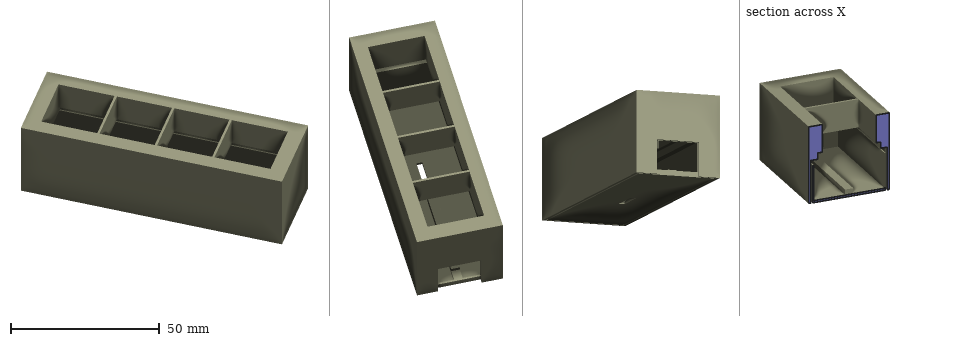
import cadquery as cq

LENGTH = 92.0
WIDTH = 29.8
HEIGHT = 28.25
MID_Y = WIDTH / 2

WELL_COUNT = 4
WELL_PITCH = 20.25
WELL_WIDTH = 19.7
WELL_DEPTH = 10.3
PARTITION = 0.8
WELL_START_X = 5.6
WELL_END_X = LENGTH - WELL_START_X
WELL_BOTTOM = HEIGHT - WELL_DEPTH

CHAMBER_WIDTH = 22.9
CHAMBER_BOTTOM = 15.6

HOUSING_WALL = 0.9
CAVITY_LENGTH = LENGTH - 2 * HOUSING_WALL
CAVITY_WIDTH = WIDTH - 2 * HOUSING_WALL

DOOR_WIDTH = 15.1
DOOR_TOP = 11.8
SILL_TOP = 1.75

CLEARANCE = 0.55
TRAY_START_X = HOUSING_WALL + CLEARANCE
TRAY_END_X = LENGTH - TRAY_START_X
TRAY_WIDTH = CAVITY_WIDTH - 2 * CLEARANCE
TRAY_HEIGHT = 13.8
TRAY_FLOOR = 0.9
TRAY_FRONT_WALL = 0.7
TRAY_BACK_WALL = 4.1
TRAY_SIDE_WALL = 0.5

RAIL_WIDTH = 3.0
RAIL_START_X = 6.0
RAIL_END_X = 40.8
RAIL_TOP = 2.85
SLOT_START_X = 43.8
SLOT_END_X = 55.0
SLOT_WIDTH = 2.0


def centred_block(start_x, end_x, width, bottom, top):
    """Block centred across Y, spanning the given X and Z ranges."""
    return cq.Workplane("XY").box(
        end_x - start_x, width, top - bottom, centered=(False, True, False)
    ).translate((start_x, MID_Y, bottom))


def make_housing():
    body = centred_block(0, LENGTH, WIDTH, 0, HEIGHT)
    cavity_end_x = HOUSING_WALL + CAVITY_LENGTH
    body = body.cut(centred_block(HOUSING_WALL, cavity_end_x, CAVITY_WIDTH, 0, CHAMBER_BOTTOM))
    body = body.cut(centred_block(WELL_START_X, WELL_END_X, CHAMBER_WIDTH, CHAMBER_BOTTOM, WELL_BOTTOM))

    wells = centred_block(WELL_START_X, WELL_END_X, WELL_WIDTH, WELL_BOTTOM, HEIGHT)
    for index in range(1, WELL_COUNT):
        partition_x = LENGTH / 2 + (index - WELL_COUNT / 2) * WELL_PITCH
        start_x = partition_x - PARTITION / 2
        end_x = partition_x + PARTITION / 2
        wells = wells.cut(centred_block(start_x, end_x, WELL_WIDTH, WELL_BOTTOM, HEIGHT))
    body = body.cut(wells)

    return body.cut(centred_block(0, HOUSING_WALL, DOOR_WIDTH, 0, DOOR_TOP))


def make_tray():
    inner_start_x = TRAY_START_X + TRAY_FRONT_WALL
    inner_end_x = TRAY_END_X - TRAY_BACK_WALL
    inner_width = TRAY_WIDTH - 2 * TRAY_SIDE_WALL
    body = centred_block(TRAY_START_X, TRAY_END_X, TRAY_WIDTH, 0, TRAY_HEIGHT)
    body = body.cut(centred_block(inner_start_x, inner_end_x, inner_width, TRAY_FLOOR, TRAY_HEIGHT))
    body = body.cut(centred_block(TRAY_START_X, inner_start_x, DOOR_WIDTH, SILL_TOP, DOOR_TOP))
    body = body.union(centred_block(inner_start_x, RAIL_END_X, RAIL_WIDTH, TRAY_FLOOR, SILL_TOP))
    body = body.union(centred_block(RAIL_START_X, RAIL_END_X, RAIL_WIDTH, SILL_TOP, RAIL_TOP))
    return body.cut(centred_block(SLOT_START_X, SLOT_END_X, SLOT_WIDTH, 0, TRAY_FLOOR))


housing = make_housing()
tray = make_tray()
result = cq.Compound.makeCompound([housing.val(), tray.val()])